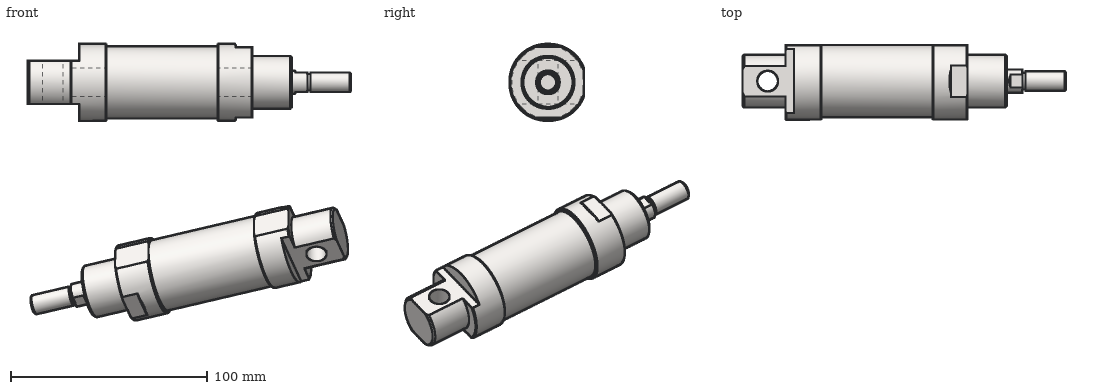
import cadquery as cq

TOTAL_LENGTH = 165.0
TONGUE_LENGTH = 22.0
REAR_FLATS_END = 26.4
TUBE_START = 40.5
TUBE_END = 96.9
HEAD_FLATS_START = 106.3
FRONT_FACE = 114.8
BOSS_END = 134.8
WRENCH_FLATS_START = 136.8
SHOULDER_END = 142.7
THREAD_START = 144.2

HEAD_RADIUS = 39.5 / 2
TUBE_RADIUS = 18.5
BOSS_RADIUS = 13.5
ROD_RADIUS = 12.0 / 2
NECK_RADIUS = 4.3
THREAD_RADIUS = 10.0 / 2

SIDE_FLAT_Y = 18.3
TONGUE_THICKNESS = 22.1
HEAD_FLAT_Z = 18.0
WRENCH_FLAT_Z = THREAD_RADIUS
PIVOT_X = 12.9
PIVOT_DIAMETER = 10.4

END_CHAMFER = 1.0
ROD_CHAMFER = 0.8
TUBE_SIDE_CHAMFER = 0.7
FACE_CHAMFER = 0.5
STEP_CHAMFER = 0.8


def cylinder(x_start, x_end, radius):
    """Solid round bar on the X axis."""
    return cq.Workplane("YZ", origin=(x_start, 0, 0)).circle(radius).extrude(x_end - x_start)


def slab_pair(x_start, x_end, flat_z, outer_radius, step_chamfer=0):
    """Two mirrored cutters that leave flats at +/-flat_z, with the step edge at x_start broken."""
    cutter_z = 2 * outer_radius
    outline = [(x_start, flat_z), (x_end, flat_z), (x_end, cutter_z)]
    if step_chamfer:
        lean = cutter_z - (outer_radius - step_chamfer)
        outline += [(x_start - lean, cutter_z), (x_start, outer_radius - step_chamfer)]
    else:
        outline.append((x_start, cutter_z))
    upper = cq.Workplane("XZ").polyline(outline).close().extrude(outer_radius, both=True)
    return upper.union(upper.mirror("XY"))


def cut_side_flat(head):
    """Trim a head on its +Y side."""
    trim = cq.Workplane("XZ", origin=(TOTAL_LENGTH / 2, SIDE_FLAT_Y, 0))
    trim = trim.rect(TOTAL_LENGTH, 2 * HEAD_RADIUS).extrude(-HEAD_RADIUS)
    return head.cut(trim)


def make_rear_head():
    """Rear head with a flattened tongue that carries the pivot hole."""
    disc = cylinder(TONGUE_LENGTH, TUBE_START, HEAD_RADIUS)
    disc = disc.faces("<X").chamfer(FACE_CHAMFER).faces(">X").chamfer(TUBE_SIDE_CHAMFER)
    tongue = cylinder(0, TONGUE_LENGTH, BOSS_RADIUS).faces("<X").chamfer(END_CHAMFER)
    head = cut_side_flat(disc).union(tongue)
    head = head.cut(slab_pair(0, REAR_FLATS_END, TONGUE_THICKNESS / 2, HEAD_RADIUS))
    pivot_hole = cq.Workplane("XY").center(PIVOT_X, 0).circle(PIVOT_DIAMETER / 2)
    return head.cut(pivot_hole.extrude(TONGUE_THICKNESS, both=True))


def make_tube():
    """Round barrel between the two heads."""
    return cylinder(TUBE_START, TUBE_END, TUBE_RADIUS)


def make_front_head():
    """Front head with two wrench flats and the round mounting boss."""
    disc = cylinder(TUBE_END, FRONT_FACE, HEAD_RADIUS)
    disc = disc.faces("<X").chamfer(TUBE_SIDE_CHAMFER).faces(">X").chamfer(FACE_CHAMFER)
    flats = slab_pair(HEAD_FLATS_START, FRONT_FACE, HEAD_FLAT_Z, HEAD_RADIUS, STEP_CHAMFER)
    boss = cylinder(FRONT_FACE, BOSS_END, BOSS_RADIUS).faces(">X").chamfer(END_CHAMFER)
    return cut_side_flat(disc).cut(flats).union(boss)


def make_rod():
    """Rod end: shoulder with wrench flats, undercut neck and threaded stub."""
    shoulder = cylinder(BOSS_END, SHOULDER_END, ROD_RADIUS)
    flats = slab_pair(WRENCH_FLATS_START, SHOULDER_END, WRENCH_FLAT_Z, ROD_RADIUS, STEP_CHAMFER)
    neck = cylinder(SHOULDER_END, THREAD_START, NECK_RADIUS)
    stub = cylinder(THREAD_START, TOTAL_LENGTH, THREAD_RADIUS).faces(">X").chamfer(ROD_CHAMFER)
    return shoulder.cut(flats).union(neck).union(stub)


rear_head = make_rear_head()
tube = make_tube()
front_head = make_front_head()
rod = make_rod()

result = cq.Compound.makeCompound([rear_head.val(), tube.val(), front_head.val(), rod.val()])